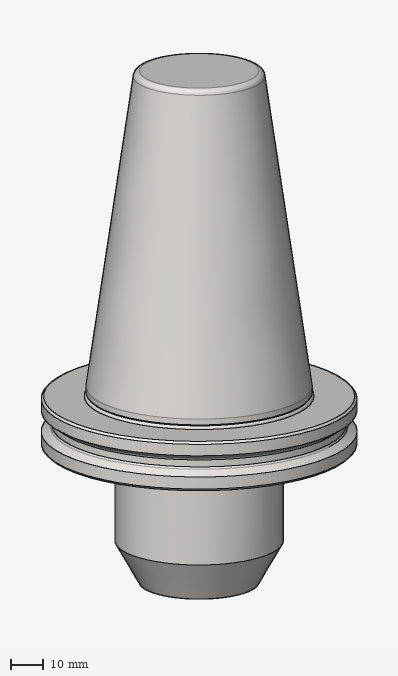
import cadquery as cq
import math

gauge_radius = 69.85 / 2
taper_slope = 7 / 48
taper_length = 101.6
tip_fillet = 2.0

collar_bottom = -1.85
relief_depth = 0.4
relief_bottom = -2.3

flange_radius = 97.45 / 2
flange_top = -3.2
flange_bottom = -19.1
flange_chamfer = 0.75

groove_center = -11.05
groove_root_radius = 91 / 2
groove_root_width = 3.1
groove_root_fillet = 0.75
groove_flank_angle = 30

nose_radius = 52 / 2
nose_fillet = 3.0
total_length = 164.6
nose_bottom = taper_length - total_length
cone_height = 13.3
cone_end_radius = 18.5


def revolve_profile(profile):
    """Revolve a closed XZ profile a full turn about the Z axis."""
    return profile.revolve(360, (0, 0, 0), (0, 1, 0))


def make_taper():
    tip_radius = gauge_radius - taper_length * taper_slope
    relief_radius = gauge_radius - relief_depth
    foot_fillet = relief_bottom - flange_top
    profile = (
        cq.Workplane("XZ")
        .moveTo(0, flange_top)
        .lineTo(relief_radius + foot_fillet, flange_top)
        .radiusArc((relief_radius, relief_bottom), -foot_fillet)
        .lineTo(gauge_radius, collar_bottom)
        .lineTo(gauge_radius, 0)
        .lineTo(tip_radius, taper_length)
        .lineTo(0, taper_length)
        .close()
    )
    taper = revolve_profile(profile)
    return taper.faces(">Z").edges().fillet(tip_fillet)


def make_flange():
    thickness = flange_top - flange_bottom
    disc = cq.Workplane("XY").workplane(offset=flange_bottom).circle(flange_radius).extrude(thickness)
    return disc.edges().chamfer(flange_chamfer)


def make_groove():
    root_half = groove_root_width / 2
    flank_height = (flange_radius - groove_root_radius) * math.tan(math.radians(groove_flank_angle))
    mouth_half = root_half + flank_height
    profile = (
        cq.Workplane("XZ")
        .moveTo(groove_root_radius, groove_center - root_half)
        .lineTo(flange_radius, groove_center - mouth_half)
        .lineTo(flange_radius, groove_center + mouth_half)
        .lineTo(groove_root_radius, groove_center + root_half)
        .close()
    )
    groove = revolve_profile(profile)
    inner_edges = cq.selectors.BoxSelector(
        (-flange_radius, -flange_radius, groove_center - root_half - flank_height / 2),
        (flange_radius, flange_radius, groove_center + root_half + flank_height / 2),
    )
    return groove.edges("%CIRCLE").edges(inner_edges).fillet(groove_root_fillet)


def make_nose():
    profile = (
        cq.Workplane("XZ")
        .moveTo(0, nose_bottom)
        .lineTo(cone_end_radius, nose_bottom)
        .lineTo(nose_radius, nose_bottom + cone_height)
        .lineTo(nose_radius, flange_bottom - nose_fillet)
        .radiusArc((nose_radius + nose_fillet, flange_bottom), nose_fillet)
        .lineTo(0, flange_bottom)
        .close()
    )
    return revolve_profile(profile)


flange = make_flange().cut(make_groove())
result = flange.union(make_taper()).union(make_nose())